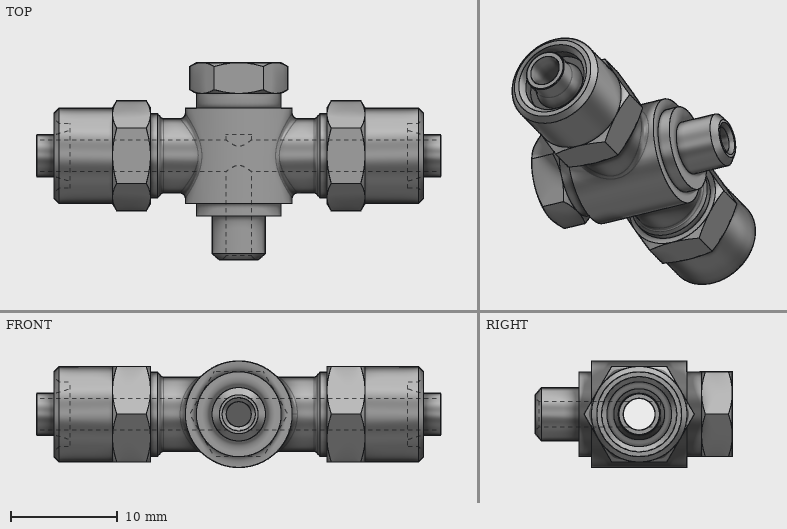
import cadquery as cq
import math


BODY_RADIUS = 5.0
BODY_HALF_LENGTH = 4.5
COLLAR_RADIUS = 4.0
FRONT_COLLAR_END = -5.65
REAR_COLLAR_END = 5.85
HEAD_FLATS = 2 * COLLAR_RADIUS
HEAD_END = 8.75
STUB_END = -9.75
STUB_RADIUS = 2.5
STUB_CHAMFER_LENGTH = 0.57
STUB_CHAMFER_DROP = 0.7
BOLT_BORE_RADIUS = 1.18
BOLT_SINK_RADIUS = 1.55
BOLT_BORE_END = 2.0

TUBE_END = 19.0
TUBE_RADIUS = 1.98
TUBE_TIP_CHAMFER = 0.08
TUBE_BORE_RADIUS = 1.5
NUT_END = 17.35
NUT_RADIUS = 4.5
NUT_CHAMFER = 0.5
NUT_HEX_START = 8.3
NUT_HEX_END = 11.85
NUT_FLATS = 2 * NUT_RADIUS
SHOULDER_RADIUS = 3.95
SHOULDER_END = 7.65
SHOULDER_CHAMFER = 0.25
SHOULDER_ARC_LENGTH = 0.3
NECK_RADIUS = 3.5
NECK_FILLET = 0.5

GAP_RADIUS = 3.05
GAP_MOUTH_RADIUS = 3.55
GAP_DEPTH = 1.52
CONE_RADIUS = 2.4
CONE_LENGTH = 1.4

HEX_CHAMFER_SLOPE = math.tan(math.radians(30))


def hex_prism(across_flats, length):
    """Hexagon along Z from 0, corners on X, with both ends turned to a 30 degree chamfer."""
    corner_radius = across_flats / math.sqrt(3)
    flat_radius = across_flats / 2
    chamfer_length = (corner_radius - flat_radius) * HEX_CHAMFER_SLOPE
    turned_blank = (
        cq.Workplane("XZ")
        .moveTo(0, 0)
        .lineTo(flat_radius, 0)
        .lineTo(corner_radius, chamfer_length)
        .lineTo(corner_radius, length - chamfer_length)
        .lineTo(flat_radius, length)
        .lineTo(0, length)
        .close()
        .revolve(360, (0, 0, 0), (0, 1, 0))
    )
    prism = cq.Workplane("XY").polygon(6, 2 * corner_radius).extrude(length)
    return prism.intersect(turned_blank)


def y_cylinder(radius, start, end):
    """Cylinder on the Y axis between two Y positions."""
    return cq.Workplane("XZ", origin=(0, start, 0)).circle(radius).extrude(start - end)


def x_cylinder(radius, start, end):
    """Cylinder on the X axis between two X positions."""
    return cq.Workplane("YZ", origin=(start, 0, 0)).circle(radius).extrude(end - start)


def banjo_with_necks():
    """Body cylinder crossed by the neck pipe, blended where they meet."""
    body = y_cylinder(BODY_RADIUS, -BODY_HALF_LENGTH, BODY_HALF_LENGTH)
    necks = x_cylinder(NECK_RADIUS, -NUT_HEX_START, NUT_HEX_START)
    joint_edges = cq.selectors.BoxSelector(
        (-BODY_RADIUS, -NECK_RADIUS, -BODY_RADIUS),
        (BODY_RADIUS, NECK_RADIUS, BODY_RADIUS),
    )
    return body.union(necks).edges(joint_edges).fillet(NECK_FILLET)


def bolt():
    """Collars, hexagon head and chamfered stub of the hollow bolt."""
    collars = y_cylinder(COLLAR_RADIUS, FRONT_COLLAR_END, REAR_COLLAR_END)
    stub = y_cylinder(STUB_RADIUS, STUB_END, 0)
    stub = stub.faces("<Y").chamfer(STUB_CHAMFER_LENGTH, STUB_CHAMFER_DROP)
    head = (
        hex_prism(HEAD_FLATS, HEAD_END - REAR_COLLAR_END)
        .rotate((0, 0, 0), (1, 0, 0), -90)
        .translate((0, REAR_COLLAR_END, 0))
    )
    return collars.union(stub).union(head)


def bolt_bore():
    """Blind bore from the stub tip past the cross bore, with a countersunk mouth."""
    sink_depth = BOLT_SINK_RADIUS - BOLT_BORE_RADIUS
    return (
        cq.Workplane("XY")
        .moveTo(0, STUB_END)
        .lineTo(BOLT_SINK_RADIUS, STUB_END)
        .lineTo(BOLT_BORE_RADIUS, STUB_END + sink_depth)
        .lineTo(BOLT_BORE_RADIUS, BOLT_BORE_END)
        .lineTo(0, BOLT_BORE_END)
        .close()
        .revolve(360, (0, 0, 0), (0, 1, 0))
    )


def fitting():
    """Shoulder, nut and tube on the +X side, turned in one profile, plus the nut hexagon."""
    chamfer_end = SHOULDER_END - SHOULDER_CHAMFER
    chamfer_foot = SHOULDER_RADIUS - SHOULDER_CHAMFER
    arc_rise = chamfer_foot - NECK_RADIUS
    arc_start = chamfer_end - SHOULDER_ARC_LENGTH
    arc_radius = (SHOULDER_ARC_LENGTH**2 + arc_rise**2) / (2 * arc_rise)
    half_angle = math.asin(SHOULDER_ARC_LENGTH / arc_radius) / 2
    arc_middle = (
        arc_start + arc_radius * math.sin(half_angle),
        NECK_RADIUS + arc_radius * (1 - math.cos(half_angle)),
    )
    gap_floor = NUT_END - GAP_DEPTH
    mouth_chamfer = GAP_MOUTH_RADIUS - GAP_RADIUS
    turned = (
        cq.Workplane("XY")
        .moveTo(arc_start, 0)
        .lineTo(arc_start, NECK_RADIUS)
        .threePointArc(arc_middle, (chamfer_end, chamfer_foot))
        .lineTo(SHOULDER_END, SHOULDER_RADIUS)
        .lineTo(NUT_HEX_END, SHOULDER_RADIUS)
        .lineTo(NUT_HEX_END, NUT_RADIUS)
        .lineTo(NUT_END - NUT_CHAMFER, NUT_RADIUS)
        .lineTo(NUT_END, NUT_RADIUS - NUT_CHAMFER)
        .lineTo(NUT_END, GAP_MOUTH_RADIUS)
        .lineTo(NUT_END - mouth_chamfer, GAP_RADIUS)
        .lineTo(gap_floor, GAP_RADIUS)
        .lineTo(gap_floor, CONE_RADIUS)
        .lineTo(gap_floor + CONE_LENGTH, TUBE_RADIUS)
        .lineTo(TUBE_END - TUBE_TIP_CHAMFER, TUBE_RADIUS)
        .lineTo(TUBE_END, TUBE_RADIUS - TUBE_TIP_CHAMFER)
        .lineTo(TUBE_END, 0)
        .close()
        .revolve(360, (0, 0, 0), (1, 0, 0))
    )
    nut_hexagon = (
        hex_prism(NUT_FLATS, NUT_HEX_END - NUT_HEX_START)
        .rotate((0, 0, 0), (0, 0, 1), 90)
        .rotate((0, 0, 0), (0, 1, 0), 90)
        .translate((NUT_HEX_START, 0, 0))
    )
    return turned.union(nut_hexagon)


right_fitting = fitting()
left_fitting = right_fitting.mirror("YZ")

result = (
    banjo_with_necks()
    .union(bolt())
    .union(right_fitting)
    .union(left_fitting)
    .cut(x_cylinder(TUBE_BORE_RADIUS, -TUBE_END, TUBE_END))
    .cut(bolt_bore())
)